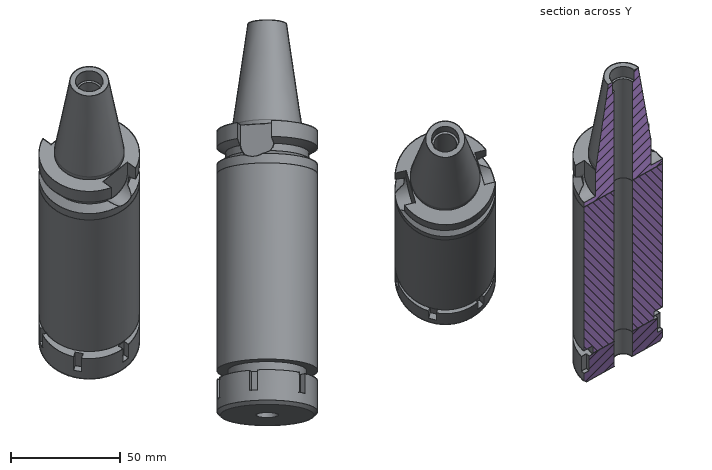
import cadquery as cq
import math

TOTAL_LENGTH = 183.4
OUTER_DIAMETER = 46.0
OUTER_RADIUS = OUTER_DIAMETER / 2

TAPER_LENGTH = 48.5
TAPER_RATIO = 7 / 24
GAUGE_RADIUS = 16.0
TAPER_TOP_RADIUS = GAUGE_RADIUS - TAPER_LENGTH * TAPER_RATIO / 2
COLLAR_HEIGHT = 2.0
RIM_HEIGHT = 7.5
GROOVE_RADIUS = 19.0
GROOVE_FLOOR_HEIGHT = 3.5
GROOVE_SIDE_ANGLE = 30.0
GROOVE_SIDE_HEIGHT = (OUTER_RADIUS - GROOVE_RADIUS) * math.tan(math.radians(GROOVE_SIDE_ANGLE))
FLANGE_HEIGHT = 20.0
DRIVE_SLOT_WIDTH = 16.1
DRIVE_SLOT_DEPTH = 16.7
DRIVE_SLOT_FLAT = 16.3
BORE_RADIUS = 5.1
COUNTERBORE_RADIUS = 6.2
COUNTERBORE_DEPTH = 6.8

NECK_RADIUS = 18.0
NECK_HEIGHT = 5.0

NUT_HEIGHT = 16.0
NUT_CHAMFER = 1.7
SPANNER_SLOT_COUNT = 6
SPANNER_SLOT_WIDTH = 3.7
SPANNER_SLOT_LENGTH = 9.4
SPANNER_SLOT_DEPTH = 3.0

GAUGE_Z = TOTAL_LENGTH - TAPER_LENGTH
FLANGE_TOP_Z = GAUGE_Z - COLLAR_HEIGHT
SHANK_BOTTOM_Z = FLANGE_TOP_Z - FLANGE_HEIGHT
BARREL_BOTTOM_Z = NUT_HEIGHT + NECK_HEIGHT


def cylinder(radius, bottom_z, top_z):
    """Cylinder on the Z axis between two levels."""
    return cq.Workplane("XY").workplane(offset=bottom_z).circle(radius).extrude(top_z - bottom_z)


def shank_blank():
    """Taper, collar and grooved flange turned as one profile."""
    rim_bottom_z = FLANGE_TOP_Z - RIM_HEIGHT
    groove_top_z = rim_bottom_z - GROOVE_SIDE_HEIGHT
    groove_bottom_z = groove_top_z - GROOVE_FLOOR_HEIGHT
    band_top_z = groove_bottom_z - GROOVE_SIDE_HEIGHT
    profile = [
        (0, SHANK_BOTTOM_Z),
        (OUTER_RADIUS, SHANK_BOTTOM_Z),
        (OUTER_RADIUS, band_top_z),
        (GROOVE_RADIUS, groove_bottom_z),
        (GROOVE_RADIUS, groove_top_z),
        (OUTER_RADIUS, rim_bottom_z),
        (OUTER_RADIUS, FLANGE_TOP_Z),
        (GAUGE_RADIUS, FLANGE_TOP_Z),
        (GAUGE_RADIUS, GAUGE_Z),
        (TAPER_TOP_RADIUS, TOTAL_LENGTH),
        (0, TOTAL_LENGTH),
    ]
    return cq.Workplane("XZ").polyline(profile).close().revolve(360, (0, 0, 0), (0, 1, 0))


def drive_slot():
    """Cutter for the round-ended drive slot on the +X side of the flange."""
    half_width = DRIVE_SLOT_WIDTH / 2
    slot_bottom_z = FLANGE_TOP_Z - DRIVE_SLOT_DEPTH
    round_center_z = slot_bottom_z + half_width
    return (
        cq.Workplane("YZ")
        .workplane(offset=DRIVE_SLOT_FLAT)
        .moveTo(-half_width, FLANGE_TOP_Z)
        .lineTo(-half_width, round_center_z)
        .threePointArc((0, slot_bottom_z), (half_width, round_center_z))
        .lineTo(half_width, FLANGE_TOP_Z)
        .close()
        .extrude(OUTER_RADIUS)
    )


def make_shank():
    """Tapered shank with its flange, drive slots and stepped bore."""
    shank = shank_blank()
    for angle in (0, 180):
        shank = shank.cut(drive_slot().rotate((0, 0, 0), (0, 0, 1), angle))
    shank = shank.cut(cylinder(BORE_RADIUS, SHANK_BOTTOM_Z, TOTAL_LENGTH))
    return shank.cut(cylinder(COUNTERBORE_RADIUS, TOTAL_LENGTH - COUNTERBORE_DEPTH, TOTAL_LENGTH))


def make_body():
    """Barrel and neck with a through bore, standing on the nut."""
    barrel = cylinder(OUTER_RADIUS, BARREL_BOTTOM_Z, SHANK_BOTTOM_Z)
    neck = cylinder(NECK_RADIUS, NUT_HEIGHT, BARREL_BOTTOM_Z)
    return barrel.union(neck).cut(cylinder(BORE_RADIUS, NUT_HEIGHT, SHANK_BOTTOM_Z))


def spanner_slot():
    """Cutter for the flat-floored spanner slot on the +X side of the nut."""
    return cq.Workplane("XY").box(
        OUTER_RADIUS, SPANNER_SLOT_WIDTH, SPANNER_SLOT_LENGTH, centered=(False, True, False)
    ).translate((OUTER_RADIUS - SPANNER_SLOT_DEPTH, 0, NUT_HEIGHT - SPANNER_SLOT_LENGTH))


def make_nut():
    """Clamping nut with a chamfered lower edge and evenly spaced spanner slots."""
    nut = cylinder(OUTER_RADIUS, 0, NUT_HEIGHT).faces("<Z").edges().chamfer(NUT_CHAMFER)
    nut = nut.cut(cylinder(BORE_RADIUS, 0, NUT_HEIGHT))
    for index in range(SPANNER_SLOT_COUNT):
        angle = index * 360 / SPANNER_SLOT_COUNT
        nut = nut.cut(spanner_slot().rotate((0, 0, 0), (0, 0, 1), angle))
    return nut


shank = make_shank()
body = make_body()
nut = make_nut()

result = cq.Compound.makeCompound([shank.solids().val(), body.solids().val(), nut.solids().val()])